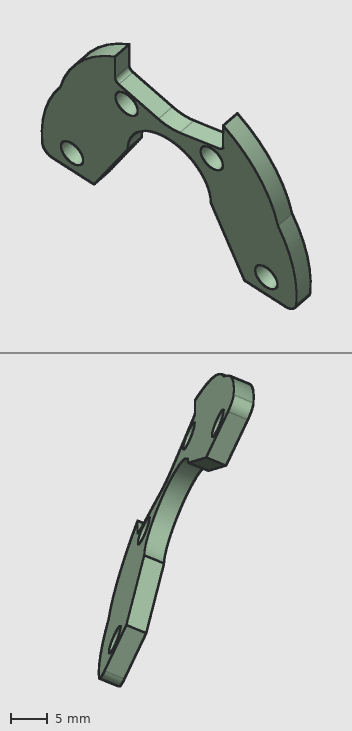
import cadquery as cq
import math

width = 45.9
height = 29.0
thickness = 3.0
bore_radius = 7.5
bore_center_z = 11.55
upper_radius = 19.9
lower_radius = width / 2
lower_center_z = 3.65

foot_inner_x = 13.55
foot_corner_radius = 1.93
shoulder_z = 15.6

notch_half_width = 9.73
notch_floor_z = 21.35
notch_floor_angle = 15.0
notch_floor_radius = 7.5
notch_corner_radius = 0.9

hole_diameter = 4.0
upper_hole_x = 7.65
upper_hole_z = 20.8
lower_hole_x = 17.5
lower_hole_z = 3.55


def circle_x(radius, center_z, z):
    """Positive X of a circle centred on X = 0, at height z."""
    return math.sqrt(radius**2 - (z - center_z) ** 2)


shoulder_x = circle_x(lower_radius, lower_center_z, shoulder_z)
foot_outer_x = circle_x(lower_radius, lower_center_z, 0)
upper_mid_z = (shoulder_z + height) / 2
upper_mid_x = circle_x(upper_radius, bore_center_z, upper_mid_z)
notch_corner_z = notch_floor_z + notch_half_width * math.tan(math.radians(notch_floor_angle))


def make_plate():
    """Sharp-cornered plate, symmetric about X = 0, with its front face on Y = 0."""
    outline = (
        cq.Workplane("XZ")
        .moveTo(-foot_inner_x, 0)
        .lineTo(-bore_radius, bore_center_z)
        .threePointArc((0, bore_center_z + bore_radius), (bore_radius, bore_center_z))
        .lineTo(foot_inner_x, 0)
        .lineTo(foot_outer_x, 0)
        .threePointArc((lower_radius, lower_center_z), (shoulder_x, shoulder_z))
        .threePointArc((upper_mid_x, upper_mid_z), (notch_half_width, height))
        .lineTo(notch_half_width, notch_corner_z)
        .lineTo(0, notch_floor_z)
        .lineTo(-notch_half_width, notch_corner_z)
        .lineTo(-notch_half_width, height)
        .threePointArc((-upper_mid_x, upper_mid_z), (-shoulder_x, shoulder_z))
        .threePointArc((-lower_radius, lower_center_z), (-foot_outer_x, 0))
        .close()
    )
    return outline.extrude(-thickness)


def round_corner(body, x, z, radius):
    """Round the corner that runs through the thickness at (x, z)."""
    point = (x, thickness / 2, z)
    return body.edges("|Y").edges(cq.NearestToPointSelector(point)).fillet(radius)


plate = make_plate()
plate = round_corner(plate, 0, notch_floor_z, notch_floor_radius)
for side in (-1, 1):
    plate = round_corner(plate, side * notch_half_width, notch_corner_z, notch_corner_radius)
    plate = round_corner(plate, side * foot_outer_x, 0, foot_corner_radius)

hole_centers = [
    (side * x, z)
    for side in (-1, 1)
    for x, z in ((upper_hole_x, upper_hole_z), (lower_hole_x, lower_hole_z))
]
holes = cq.Workplane("XZ").pushPoints(hole_centers).circle(hole_diameter / 2).extrude(-thickness)

result = plate.cut(holes)